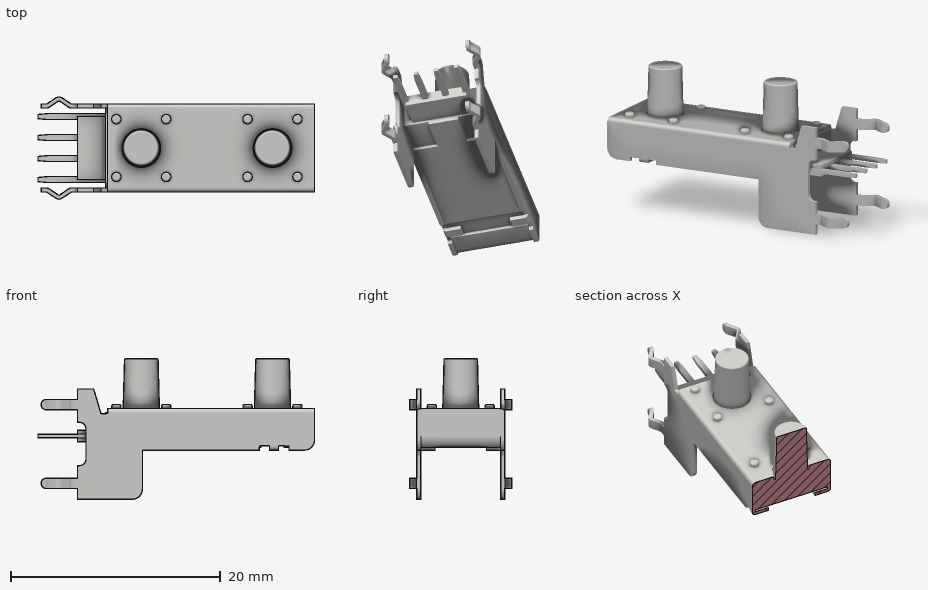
import cadquery as cq
import math


sheet = 0.4
cover_width = 8.4
cover_start_x = 2.87
cover_end_x = 22.6
cover_top_z = 2.63
cover_height = 3.98
cover_bottom_z = cover_top_z - cover_height
cover_end_radius = 1.0
half_width = cover_width / 2
inner_half_width = half_width - sheet

bracket_top_z = 4.5
bracket_bottom_z = -6.03
bracket_end_x = 6.2
bracket_corner_radius = 1.0
horn_end_x = 1.55
relief_start_x = 2.25
relief_z = 2.15
recess_depth = 0.8
recess_radius = 0.6
recess_top_z = 1.3
recess_bottom_z = -2.8

leg_height = 1.0
leg_length = 3.47
leg_centers_z = (3.0, -4.5)
leg_crest_x = -1.76
leg_crest_offset = 0.675
leg_crest_radius = 0.55
leg_slope = math.radians(34)
leg_bend_radius = 0.1

body_start_x = 2.68
body_bottom_z = -1.08
body_recess_z = -0.78
body_keel_width = 2.9
groove_width = 2.15
groove_center_x = 18.58

block_width = 6.0
block_height = 1.12
pin_pitch = 2.0
pin_count = 4
pin_width = 0.6
pin_thickness = 0.36
pin_length = 3.78
pin_tip_width = 0.42
pin_taper_length = 1.0

button_pitch = 12.5
first_button_x = 6.08
button_centers_x = (first_button_x, first_button_x + button_pitch)
button_base_diameter = 3.5
button_top_diameter = 3.22
button_top_z = 7.37
button_edge_radius = 0.12
button_hole_diameter = 3.7
rivet_spacing_x = 4.75
rivet_spacing_y = 5.5
rivet_diameter = 0.9
rivet_height = 0.4
rivet_edge_radius = 0.2

tab_width = 0.9
tab_reach = 1.75
tab_x = 18.72
tab_bend_radius = 0.38
window_start_x = 17.32
window_end_x = 20.13
window_top_z = -0.93


def box(x_range, y_range, z_range):
    """Axis-aligned block between the given limits."""
    (x0, x1), (y0, y1), (z0, z1) = x_range, y_range, z_range
    return cq.Workplane("XY").box(x1 - x0, y1 - y0, z1 - z0, centered=False).translate((x0, y0, z0))


def mirrored(shape):
    """The shape together with its mirror image across the middle plane."""
    return shape.union(shape.mirror("XZ"))


def side_plate():
    """Side plate at the -Y side, from bracket to far end, with the tab window."""
    plate = (
        cq.Workplane("XZ", origin=(0, -inner_half_width, 0))
        .moveTo(0, bracket_top_z)
        .lineTo(horn_end_x, bracket_top_z)
        .lineTo(relief_start_x, relief_z)
        .lineTo(cover_start_x, relief_z)
        .lineTo(cover_start_x, cover_top_z)
        .lineTo(cover_end_x, cover_top_z)
        .lineTo(cover_end_x, cover_bottom_z + cover_end_radius)
        .radiusArc((cover_end_x - cover_end_radius, cover_bottom_z), cover_end_radius)
        .lineTo(bracket_end_x, cover_bottom_z)
        .lineTo(bracket_end_x, bracket_bottom_z + bracket_corner_radius)
        .radiusArc((bracket_end_x - bracket_corner_radius, bracket_bottom_z), bracket_corner_radius)
        .lineTo(0, bracket_bottom_z)
        .lineTo(0, recess_bottom_z)
        .lineTo(recess_depth - recess_radius, recess_bottom_z)
        .radiusArc((recess_depth, recess_bottom_z + recess_radius), -recess_radius)
        .lineTo(recess_depth, recess_top_z - recess_radius)
        .radiusArc((recess_depth - recess_radius, recess_top_z), -recess_radius)
        .lineTo(0, recess_top_z)
        .close()
        .extrude(sheet)
    )
    window = box(
        (window_start_x, window_end_x),
        (-half_width, -inner_half_width),
        (cover_bottom_z, window_top_z),
    )
    return plate.cut(window)


def retaining_tab():
    """Tab that drops from the -Y side plate and folds inward under the body."""
    x_range = (tab_x - tab_width / 2, tab_x + tab_width / 2)
    inner_y = -half_width + tab_reach
    fold = box(x_range, (-half_width, inner_y), (cover_bottom_z, cover_bottom_z + sheet))
    fold = fold.edges("<Y and <Z").fillet(tab_bend_radius)
    stem = box(x_range, (-half_width, -inner_half_width), (cover_bottom_z + sheet, window_top_z + sheet))
    return fold.union(stem)


def snap_leg(center_z):
    """Leg of the -Y side plate, bent outward to a rounded crest, with a round tip."""
    outer_y = -half_width
    inner_y = -inner_half_width
    crest_y = outer_y - leg_crest_offset
    apex_y = crest_y - leg_crest_radius * (1 / math.cos(leg_slope) - 1)
    half_kink = (outer_y - apex_y) / math.tan(leg_slope)
    inner_apex_y = apex_y + sheet / math.cos(leg_slope)
    half_inner_kink = half_kink - sheet * math.tan(leg_slope / 2)
    strip = (
        cq.Workplane("XY", origin=(0, 0, center_z - leg_height / 2))
        .polyline([
            (0, outer_y),
            (leg_crest_x + half_kink, outer_y),
            (leg_crest_x, apex_y),
            (leg_crest_x - half_kink, outer_y),
            (-leg_length, outer_y),
            (-leg_length, inner_y),
            (leg_crest_x - half_inner_kink, inner_y),
            (leg_crest_x, inner_apex_y),
            (leg_crest_x + half_inner_kink, inner_y),
            (0, inner_y),
        ])
        .close()
        .extrude(leg_height)
    )
    strip = strip.edges(cq.NearestToPointSelector((leg_crest_x, apex_y, center_z))).fillet(leg_crest_radius)
    inner_crest = cq.NearestToPointSelector((leg_crest_x, inner_apex_y, center_z))
    strip = strip.edges(inner_crest).fillet(leg_crest_radius - sheet)
    for side in (-1, 1):
        outer_bend = cq.NearestToPointSelector((leg_crest_x + side * half_kink, outer_y, center_z))
        strip = strip.edges(outer_bend).fillet(leg_bend_radius)
        inner_bend = cq.NearestToPointSelector((leg_crest_x + side * half_inner_kink, inner_y, center_z))
        strip = strip.edges(inner_bend).fillet(leg_bend_radius + sheet)
    return round_tip(strip, center_z)


def round_tip(strip, center_z):
    """The strip trimmed to a half-round tip in the plane of the side plate."""
    tip_radius = leg_height / 2
    outline = (
        cq.Workplane("XZ", origin=(0, 0, center_z))
        .moveTo(0, tip_radius)
        .lineTo(tip_radius - leg_length, tip_radius)
        .threePointArc((-leg_length, 0), (tip_radius - leg_length, -tip_radius))
        .lineTo(0, -tip_radius)
        .close()
        .extrude(cover_width)
    )
    return strip.intersect(outline)


def cover():
    """Sheet-metal cover: top, two side plates, legs and retaining tabs."""
    side = side_plate().union(retaining_tab())
    for center_z in leg_centers_z:
        side = side.union(snap_leg(center_z))
    top = box(
        (cover_start_x, cover_end_x),
        (-half_width, half_width),
        (cover_top_z - sheet, cover_top_z),
    )
    bends = cq.selectors.BoxSelector(
        (cover_start_x, -half_width - sheet, cover_top_z - sheet / 2),
        (cover_end_x, half_width + sheet, cover_top_z + sheet / 2),
    )
    shell = mirrored(side).union(top).edges(bends).edges("|X").edges("<Y or >Y").fillet(sheet)
    holes = (
        cq.Workplane("XY", origin=(0, 0, cover_top_z - sheet))
        .pushPoints([(x, 0) for x in button_centers_x])
        .circle(button_hole_diameter / 2)
        .extrude(sheet)
    )
    return shell.cut(holes)


def plastic_body():
    """Body filling the cover, with a keel at the front and a groove across the bottom."""
    body = box(
        (body_start_x, cover_end_x),
        (-inner_half_width, inner_half_width),
        (body_bottom_z, cover_top_z - sheet),
    )
    body = body.edges(">X and <Z").fillet(cover_end_radius)
    recess_z = (body_bottom_z, body_recess_z)
    channel = box(
        (body_start_x, first_button_x),
        (-inner_half_width, -body_keel_width / 2),
        recess_z,
    )
    body = body.cut(mirrored(channel))
    groove_x = (groove_center_x - groove_width / 2, groove_center_x + groove_width / 2)
    groove = box(groove_x, (-inner_half_width, inner_half_width), recess_z)
    return body.cut(groove)


def connector():
    """Terminal block with its row of tapered flat pins."""
    block = box(
        (0, body_start_x),
        (-block_width / 2, block_width / 2),
        (-block_height / 2, block_height / 2),
    )
    pin = (
        cq.Workplane("XY", origin=(0, 0, -pin_thickness / 2))
        .polyline([
            (body_start_x, pin_width / 2),
            (pin_taper_length - pin_length, pin_width / 2),
            (-pin_length, pin_tip_width / 2),
            (-pin_length, -pin_tip_width / 2),
            (pin_taper_length - pin_length, -pin_width / 2),
            (body_start_x, -pin_width / 2),
        ])
        .close()
        .extrude(pin_thickness)
    )
    for index in range(pin_count):
        pin_y = (index - (pin_count - 1) / 2) * pin_pitch
        block = block.union(pin.translate((0, pin_y, 0)))
    return block


def button(center_x):
    """Tapered push button standing on the body, inside its hole in the cover."""
    base_z = cover_top_z - sheet
    return (
        cq.Workplane("XY", origin=(center_x, 0, base_z))
        .circle(button_base_diameter / 2)
        .workplane(offset=button_top_z - base_z)
        .circle(button_top_diameter / 2)
        .loft()
        .faces(">Z")
        .edges()
        .fillet(button_edge_radius)
    )


def rivets(center_x):
    """Four round-edged rivet heads on the cover around one button."""
    return (
        cq.Workplane("XY", origin=(center_x, 0, cover_top_z))
        .rect(rivet_spacing_x, rivet_spacing_y, forConstruction=True)
        .vertices()
        .circle(rivet_diameter / 2)
        .extrude(rivet_height)
        .faces(">Z")
        .edges()
        .fillet(rivet_edge_radius)
    )


result = cover().union(plastic_body()).union(connector())
for button_x in button_centers_x:
    result = result.union(button(button_x)).union(rivets(button_x))